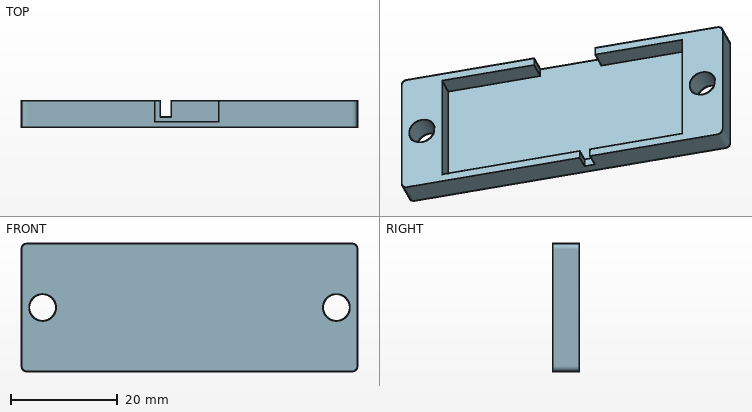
import cadquery as cq

length = 63.0
depth = 5.0
height = 24.0
corner_radius = 1.0

front_thickness = 1.0
rim_thickness = 1.5

hole_diameter = 5.0
hole_edge_distance = 4.0
hole_spacing = length - 2 * hole_edge_distance
end_block_width = 2 * hole_edge_distance

notch_left = -6.5
notch_width = 12.0
slot_left = -5.5
slot_width = 2.0
slot_depth = 3.0

back_y = depth / 2
floor_y = -depth / 2 + front_thickness


def back_cut(left, bottom, width, cut_height, cut_depth):
    """Box that reaches from the open back face toward the front."""
    return cq.Workplane("XY").box(width, cut_depth, cut_height, centered=False).translate(
        (left, back_y - cut_depth, bottom)
    )


body = cq.Workplane("XY").box(length, depth, height).edges("|Y").fillet(corner_radius)

cavity_length = length - 2 * end_block_width
cavity_height = height - 2 * rim_thickness
cavity_depth = back_y - floor_y
body = body.cut(
    back_cut(-cavity_length / 2, -cavity_height / 2, cavity_length, cavity_height, cavity_depth)
)

body = body.cut(
    back_cut(notch_left, cavity_height / 2, notch_width, rim_thickness, cavity_depth)
)

body = body.cut(back_cut(slot_left, -height / 2, slot_width, rim_thickness, slot_depth))

holes = (
    cq.Workplane("XZ", origin=(0, back_y, 0))
    .pushPoints([(-hole_spacing / 2, 0), (hole_spacing / 2, 0)])
    .circle(hole_diameter / 2)
    .extrude(depth)
)
result = body.cut(holes)